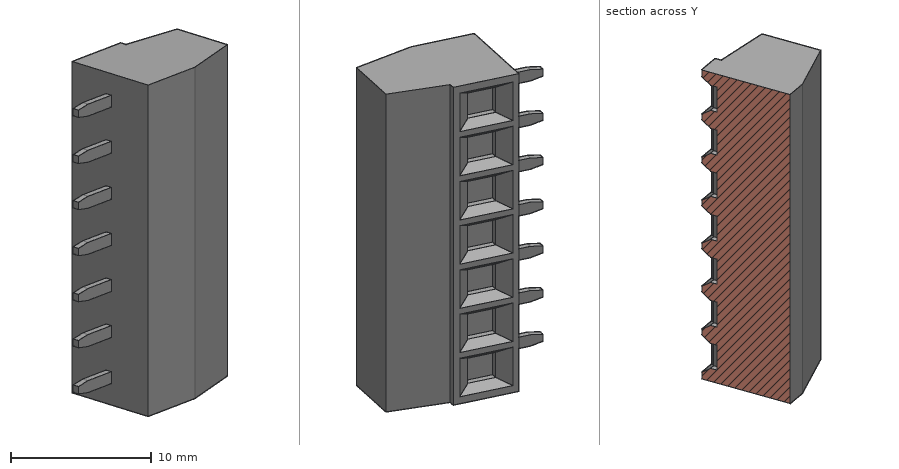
import cadquery as cq


terminal_count = 7
pitch = 3.5
row_length = 25.2

housing_width = 7.3
housing_depth = 10.0
wire_face_depth = 5.2
step_width = 0.5
rear_slope_start = 5.0
back_left = 1.08
back_right = 5.92

mouth_depth = 4.2
mouth_height = 3.05
recess_depth = 2.22
recess_height = 2.0
entry_center_y = 2.57
taper_length = 0.75
recess_length = 0.5

pin_left = 3.28
pin_thickness = 0.5
pin_height = 0.9
pin_length = 3.5
pin_tip_height = 0.55
pin_tip_length = 1.0
pin_root = 0.25


def make_housing():
    """Housing profile in XY, extruded along the row."""
    outline = [
        (0, 0),
        (housing_width, 0),
        (housing_width, rear_slope_start),
        (back_right, housing_depth),
        (back_left, housing_depth),
        (step_width, wire_face_depth),
        (0, wire_face_depth),
    ]
    profile = cq.Workplane("XY").polyline(outline).close()
    return profile.extrude(row_length / 2, both=True)


def make_wire_entry(z):
    """Cutter for one wire entry, going inward from the -X face."""
    mouth = cq.Workplane("YZ", origin=(0, entry_center_y, z)).rect(mouth_depth, mouth_height)
    taper = mouth.workplane(offset=taper_length).rect(recess_depth, recess_height).loft(ruled=True)
    recess = taper.faces(">X").workplane(centerOption="CenterOfMass").rect(recess_depth, recess_height)
    return recess.extrude(recess_length)


def make_pin(z):
    """Flat pin whose tip narrows in Z only."""
    taper_start = pin_tip_length - pin_length
    outline = [
        (pin_root, -pin_height / 2),
        (taper_start, -pin_height / 2),
        (-pin_length, -pin_tip_height / 2),
        (-pin_length, pin_tip_height / 2),
        (taper_start, pin_height / 2),
        (pin_root, pin_height / 2),
    ]
    profile = cq.Workplane("YZ", origin=(pin_left, 0, z)).polyline(outline).close()
    return profile.extrude(pin_thickness)


result = make_housing()
for index in range(terminal_count):
    terminal_z = (index - (terminal_count - 1) / 2) * pitch
    result = result.cut(make_wire_entry(terminal_z))
    result = result.union(make_pin(terminal_z))